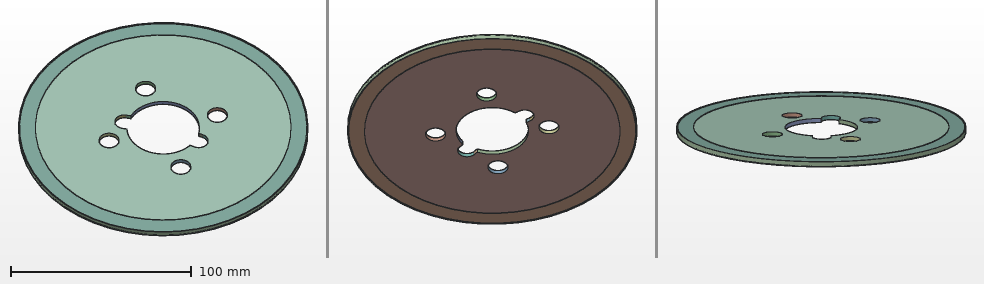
import cadquery as cq

outer_diameter = 160.0
thickness = 3.0

rim_inner_diameter = 141.3
web_diameter = 158.7
web_recess = 0.3
web_thickness = thickness - 2 * web_recess

bore_diameter = 40.0
bolt_hole_diameter = 11.0
bolt_offset = 22.2
notch_width = 10.2
notch_center_radius = 22.0
notch_angles = (0, 195)


def make_blank_web():
    """Plain web disc, centred on the mid-plane."""
    return (
        cq.Workplane("XY", origin=(0, 0, -web_thickness / 2))
        .circle(web_diameter / 2)
        .extrude(web_thickness)
    )


def make_rim():
    """Outer ring, grooved inside to hold the edge of the web."""
    ring = (
        cq.Workplane("XY", origin=(0, 0, -thickness / 2))
        .circle(outer_diameter / 2)
        .circle(rim_inner_diameter / 2)
        .extrude(thickness)
    )
    return ring.cut(make_blank_web())


def make_notch(angle):
    """Round-ended radial cutter that opens into the bore."""
    return (
        cq.Workplane("XY", origin=(0, 0, -thickness / 2))
        .center(notch_center_radius / 2, 0)
        .slot2D(notch_center_radius + notch_width, notch_width)
        .extrude(thickness)
        .rotate((0, 0, 0), (0, 0, 1), angle)
    )


def make_web():
    """Web disc with a notched bore and four bolt holes."""
    bore = (
        cq.Workplane("XY", origin=(0, 0, -thickness / 2))
        .circle(bore_diameter / 2)
        .extrude(thickness)
    )
    bolt_holes = (
        cq.Workplane("XY", origin=(0, 0, -thickness / 2))
        .rect(2 * bolt_offset, 2 * bolt_offset, forConstruction=True)
        .vertices()
        .circle(bolt_hole_diameter / 2)
        .extrude(thickness)
    )
    web = make_blank_web().cut(bore).cut(bolt_holes)
    for angle in notch_angles:
        web = web.cut(make_notch(angle))
    return web


rim = make_rim()
web = make_web()
result = cq.Compound.makeCompound([rim.val(), web.val()])